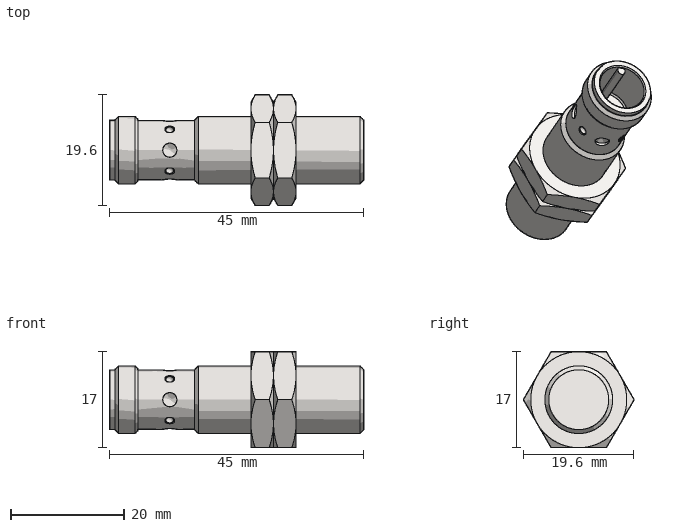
import cadquery as cq
import math

overall_length = 45.0
barrel_diameter = 12.0
nose_diameter = 10.6
neck_diameter = 10.55
nose_length = 1.0
collar_end = 5.0
barrel_start = 15.0
collar_front_chamfer = 0.6
collar_rear_chamfer = 0.5
barrel_chamfer = 0.7

socket_mouth_diameter = 8.75
socket_diameter = 8.3
socket_floor_diameter = 7.7
socket_depth = 9.0
socket_mouth_chamfer = (socket_mouth_diameter - socket_diameter) / 2
socket_floor_chamfer = (socket_diameter - socket_floor_diameter) / 2

key_width = 1.3
key_tip_height = 2.9
key_start = 0.5

ring_position = 10.65
ring_count = 4
dimple_diameter = 2.5
dimple_cone_angle = 130.0
dimple_wall_depth = 0.5
window_diameter = 1.4
window_countersink_diameter = 1.75

nut_sides = 6
nut_across_flats = 17.0
nut_thickness = 4.0
nut_count = 2
first_nut_position = 25.0
nut_chamfer_angle = 30.0


def revolve_about_x(profile):
    """Turn a closed profile of (x, radius) points about the X axis."""
    return profile.close().revolve(360, (0, 0, 0), (1, 0, 0))


def make_turned_body():
    barrel_radius = barrel_diameter / 2
    nose_radius = nose_diameter / 2
    neck_radius = neck_diameter / 2
    collar_rear_radius = barrel_radius - collar_rear_chamfer
    outline = (
        cq.Workplane("XY")
        .moveTo(0, 0)
        .lineTo(0, nose_radius)
        .lineTo(nose_length, nose_radius)
        .lineTo(nose_length, barrel_radius - collar_front_chamfer)
        .lineTo(nose_length + collar_front_chamfer, barrel_radius)
        .lineTo(collar_end - collar_rear_chamfer, barrel_radius)
        .lineTo(collar_end, collar_rear_radius)
        .lineTo(collar_end, neck_radius)
        .lineTo(barrel_start, neck_radius)
        .lineTo(barrel_start, barrel_radius - barrel_chamfer)
        .lineTo(barrel_start + barrel_chamfer, barrel_radius)
        .lineTo(overall_length - barrel_chamfer, barrel_radius)
        .lineTo(overall_length, barrel_radius - barrel_chamfer)
        .lineTo(overall_length, 0)
    )
    return revolve_about_x(outline)


def make_socket():
    socket_radius = socket_diameter / 2
    outline = (
        cq.Workplane("XY")
        .moveTo(0, 0)
        .lineTo(0, socket_mouth_diameter / 2)
        .lineTo(socket_mouth_chamfer, socket_radius)
        .lineTo(socket_depth - socket_floor_chamfer, socket_radius)
        .lineTo(socket_depth, socket_floor_diameter / 2)
        .lineTo(socket_depth, 0)
    )
    return revolve_about_x(outline)


def make_key():
    """Rib with a rounded tip, rooted in the socket wall."""
    half_width = key_width / 2
    root_height = (socket_diameter + nose_diameter) / 4
    shoulder_height = key_tip_height + half_width
    return (
        cq.Workplane("YZ", origin=(key_start, 0, 0))
        .moveTo(-half_width, root_height)
        .lineTo(-half_width, shoulder_height)
        .threePointArc((0, key_tip_height), (half_width, shoulder_height))
        .lineTo(half_width, root_height)
        .close()
        .extrude(socket_depth - key_start)
    )


def make_dimple():
    """Drill-shaped cutter above the axis: a cylinder ending in a conical point."""
    radius = dimple_diameter / 2
    top = barrel_diameter / 2
    shoulder_height = neck_diameter / 2 - dimple_wall_depth
    tip_height = shoulder_height - radius / math.tan(math.radians(dimple_cone_angle / 2))
    return (
        cq.Workplane("XZ", origin=(ring_position, 0, 0))
        .moveTo(0, tip_height)
        .lineTo(radius, shoulder_height)
        .lineTo(radius, top)
        .lineTo(0, top)
        .close()
        .revolve(360, (0, 0, 0), (0, 1, 0))
    )


def make_window():
    """Round-bottomed cutter above the axis, with a 45 degree countersink at the neck surface."""
    bowl_radius = window_diameter / 2
    rim_height = neck_diameter / 2
    countersink_radius = window_countersink_diameter / 2
    bowl_height = rim_height - (countersink_radius - bowl_radius)
    bowl_slope = bowl_radius * math.sqrt(0.5)
    return (
        cq.Workplane("XZ", origin=(ring_position, 0, 0))
        .moveTo(0, bowl_height - bowl_radius)
        .threePointArc((bowl_slope, bowl_height - bowl_slope), (bowl_radius, bowl_height))
        .lineTo(countersink_radius, rim_height)
        .lineTo(0, rim_height)
        .close()
        .revolve(360, (0, 0, 0), (0, 1, 0))
    )


def make_housing():
    body = make_turned_body().cut(make_socket()).union(make_key())
    dimple = make_dimple()
    window = make_window()
    spacing = 360 / ring_count
    for index in range(ring_count):
        dimple_angle = index * spacing
        window_angle = dimple_angle + spacing / 2
        body = body.cut(dimple.rotate((0, 0, 0), (1, 0, 0), dimple_angle))
        body = body.cut(window.rotate((0, 0, 0), (1, 0, 0), window_angle))
    return body


def make_nut(position):
    """Hexagon nut with both faces chamfered down to the across-flats circle."""
    face_radius = nut_across_flats / 2
    corner_radius = face_radius / math.cos(math.pi / nut_sides)
    chamfer_length = (corner_radius - face_radius) * math.tan(math.radians(nut_chamfer_angle))
    end = position + nut_thickness
    hexagon = (
        cq.Workplane("YZ", origin=(position, 0, 0))
        .polygon(nut_sides, 2 * corner_radius)
        .circle(barrel_diameter / 2)
        .extrude(nut_thickness)
    )
    chamfer_envelope = revolve_about_x(
        cq.Workplane("XY")
        .moveTo(position, 0)
        .lineTo(position, face_radius)
        .lineTo(position + chamfer_length, corner_radius)
        .lineTo(end - chamfer_length, corner_radius)
        .lineTo(end, face_radius)
        .lineTo(end, 0)
    )
    return hexagon.intersect(chamfer_envelope)


housing = make_housing()
nuts = [make_nut(first_nut_position + index * nut_thickness) for index in range(nut_count)]

result = cq.Compound.makeCompound([housing.val(), *[nut.val() for nut in nuts]])